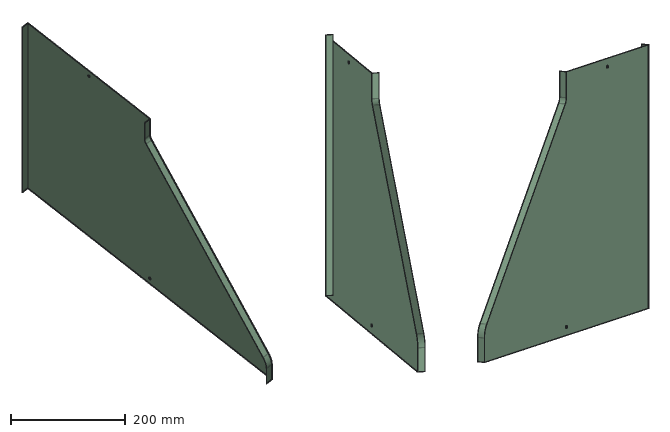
import cadquery as cq

length = 602.0
height = 468.0
depth = 14.0
sheet = 1.0
top_length = length / 2 + sheet
upper_edge = 52.0
lower_edge = 56.5
inner_bend_radius = 15.5
outer_bend_radius = 37.0
hole_diameter = 5.0
hole_inset = 15.0


def panel_blank():
    """Solid block with the outline of the panel, back face at Y = 0."""
    blank = (
        cq.Workplane("XZ")
        .polyline([
            (0, 0),
            (length, 0),
            (length, lower_edge),
            (top_length, height - upper_edge),
            (top_length, height),
            (0, height),
        ])
        .close()
        .extrude(depth)
    )
    lower_corner = cq.selectors.NearestToPointSelector((length, -depth / 2, lower_edge))
    upper_corner = cq.selectors.NearestToPointSelector((top_length, -depth / 2, height - upper_edge))
    blank = blank.edges("|Y").edges(lower_corner).fillet(outer_bend_radius)
    return blank.edges("|Y").edges(upper_corner).fillet(inner_bend_radius)


def folded_sheet():
    """Back sheet with flanges on its sides; top, bottom and front are open."""
    blank = panel_blank()
    open_faces = blank.faces("<Y or <Z or >Z")
    return open_faces.shell(-sheet)


def hole_cutter():
    """Through holes at the middle of the top edge and of the bottom edge."""
    centres = [
        (top_length / 2, height - hole_inset),
        (length / 2, hole_inset),
    ]
    return cq.Workplane("XZ").pushPoints(centres).circle(hole_diameter / 2).extrude(depth)


result = folded_sheet().cut(hole_cutter())